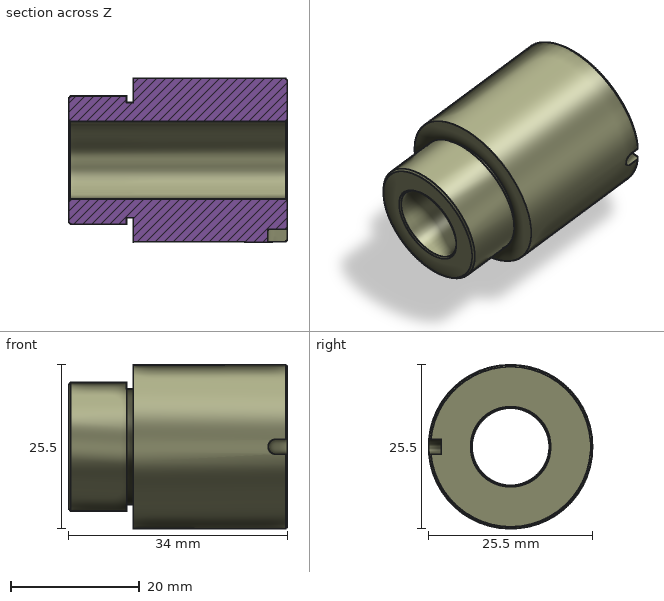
import cadquery as cq

length = 34.0
body_diameter = 25.5
spigot_diameter = 20.0
groove_diameter = 18.0
bore_diameter = 12.0

spigot_length = 9.0
groove_width = 1.0
edge_chamfer = 0.3
bore_chamfer = 0.25

slot_width = 2.3
slot_length = 3.0
slot_depth = 2.0


def cylinder(diameter, start, height):
    return cq.Workplane("YZ", origin=(start, 0, 0)).circle(diameter / 2).extrude(height)


body_start = spigot_length + groove_width
spigot = cylinder(spigot_diameter, 0, spigot_length).faces("<X").chamfer(edge_chamfer)
groove = cylinder(groove_diameter, spigot_length, groove_width)
body = cylinder(body_diameter, body_start, length - body_start).faces(">X").chamfer(edge_chamfer)
sleeve = spigot.union(groove).union(body)

bore = cylinder(bore_diameter, 0, length)
sleeve = sleeve.cut(bore)
bore_edges = sleeve.faces("<X or >X").edges(cq.selectors.RadiusNthSelector(0))
sleeve = bore_edges.chamfer(bore_chamfer)


def side_slot():
    """Slot with a round inner end and a flat floor facing -Y."""
    radius = slot_width / 2
    inner_end = length - slot_length
    return (
        cq.Workplane("XZ", origin=(0, -body_diameter / 2, 0))
        .moveTo(length, -radius)
        .lineTo(inner_end + radius, -radius)
        .threePointArc((inner_end, 0), (inner_end + radius, radius))
        .lineTo(length, radius)
        .close()
        .extrude(-slot_depth)
    )


result = sleeve.cut(side_slot())